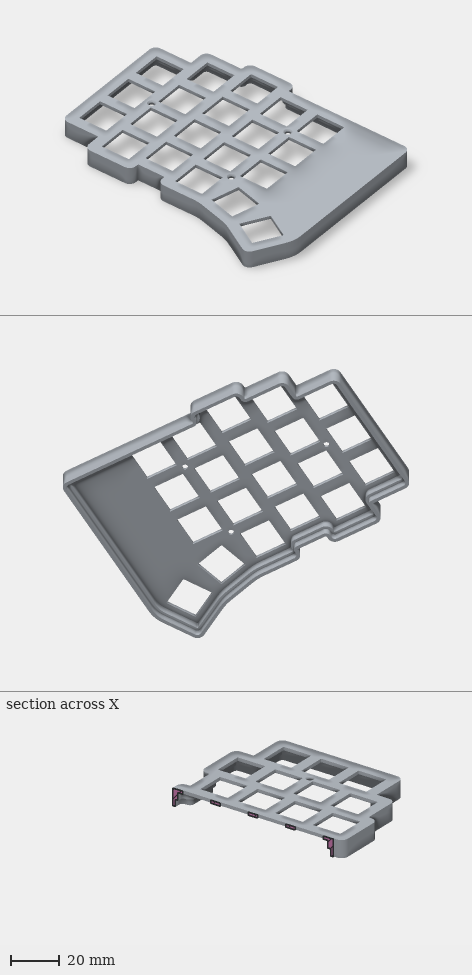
import cadquery as cq
import math

KEY_PITCH = 19.03
CUTOUT = 14.0
PLATE_MARGIN = 5.17
CASE_HEIGHT = 8.3
PLATE_THICKNESS = 1.6
LEDGE_DEPTH = 5.1
LOWER_WALL = 1.5
LEDGE_WIDTH = 1.3
RIGHT_EDGE_REACH = 37.36

COLUMNS = [
    (-KEY_PITCH / 2, 3),
    (0.0, 4),
    (KEY_PITCH / 4, 4),
    (0.0, 4),
    (0.0, 3),
]

INNER_THUMB = (78.2, -59.86, -15)
OUTER_THUMB = (98.0, -68.0, -30)

CORNER_RADIUS = 3.2
INSIDE_CORNER_RADIUS = 0.5
THUMB_BEND_RADIUS = 20.0
SIDE_BEND_RADIUS = 15.0

SCREW_HOLE_DIAMETER = 2.4
SCREW_HEAD_DIAMETER = 3.8
COUNTERSINK_ANGLE = 90
LEFT_SCREW_X = 10.5
RIGHT_SCREW_X = 3.5 * KEY_PITCH
SCREWS = [
    (LEFT_SCREW_X, -1.5 * KEY_PITCH),
    (RIGHT_SCREW_X, -0.5 * KEY_PITCH),
    (RIGHT_SCREW_X, -2.5 * KEY_PITCH),
]

REACH = CUTOUT / 2 + PLATE_MARGIN
RIGHT_EDGE = (len(COLUMNS) - 1) * KEY_PITCH + RIGHT_EDGE_REACH
UPPER_WALL = LOWER_WALL + LEDGE_WIDTH


def column_left(column):
    return column * KEY_PITCH - REACH


def column_right(column):
    return column * KEY_PITCH + REACH


def column_top(column):
    return COLUMNS[column][0] + REACH


def column_bottom(column):
    top_key, key_count = COLUMNS[column]
    return top_key - (key_count - 1) * KEY_PITCH - REACH


def thumb_side(thumb, side_angle):
    """Outer wall line beside a thumb key: a point on it and its direction angle in radians."""
    x, y, rotation = thumb
    outward = math.radians(rotation + side_angle)
    point = (x + REACH * math.cos(outward), y + REACH * math.sin(outward))
    return point, outward + math.pi / 2


def crossing(line_a, line_b):
    """Point where two lines meet."""
    (ax, ay), angle_a = line_a
    (bx, by), angle_b = line_b
    gap = (bx - ax) * math.sin(angle_b) - (by - ay) * math.cos(angle_b)
    along_a = gap / math.sin(angle_b - angle_a)
    return ax + along_a * math.cos(angle_a), ay + along_a * math.sin(angle_a)


def rounded_corner(before, corner, after, radius):
    """Start, middle and end point of the arc that rounds one corner."""
    tip = cq.Vector(*corner)
    to_before = cq.Vector(*before).sub(tip).normalized()
    to_after = cq.Vector(*after).sub(tip).normalized()
    half_angle = to_before.getAngle(to_after) / 2
    tangent_length = radius / math.tan(half_angle)
    middle_distance = radius / math.sin(half_angle) - radius
    bisector = to_before.add(to_after).normalized()
    start = tip.add(to_before.multiply(tangent_length))
    middle = tip.add(bisector.multiply(middle_distance))
    end = tip.add(to_after.multiply(tangent_length))
    return start.toTuple()[:2], middle.toTuple()[:2], end.toTuple()[:2]


def outline_corners():
    """Sharp corners of the case outline, counter-clockwise, each with its rounding radius."""
    bottom_line = ((0, column_bottom(3)), 0)
    inner_thumb_line = thumb_side(INNER_THUMB, -90)
    outer_thumb_line = thumb_side(OUTER_THUMB, -90)
    outer_thumb_end = thumb_side(OUTER_THUMB, 0)
    right_line = ((RIGHT_EDGE, 0), math.pi / 2)
    outside = CORNER_RADIUS
    inside = INSIDE_CORNER_RADIUS
    return [
        ((column_left(0), column_top(0)), outside),
        ((column_left(0), column_bottom(0)), outside),
        ((column_left(1), column_bottom(0)), inside),
        ((column_left(1), column_bottom(1)), outside),
        ((column_right(1), column_bottom(1)), outside),
        ((column_right(1), column_bottom(2)), inside),
        ((column_left(3), column_bottom(2)), inside),
        ((column_left(3), column_bottom(3)), outside),
        (crossing(bottom_line, inner_thumb_line), THUMB_BEND_RADIUS),
        (crossing(inner_thumb_line, outer_thumb_line), THUMB_BEND_RADIUS),
        (crossing(outer_thumb_line, outer_thumb_end), outside),
        (crossing(outer_thumb_end, right_line), SIDE_BEND_RADIUS),
        ((RIGHT_EDGE, column_top(3)), outside),
        ((column_right(2), column_top(3)), inside),
        ((column_right(2), column_top(2)), outside),
        ((column_left(2), column_top(2)), outside),
        ((column_left(2), column_top(1)), inside),
        ((column_left(1), column_top(1)), outside),
        ((column_left(1), column_top(0)), inside),
    ]


def outline():
    """Closed outer profile of the case on its base plane."""
    corners = outline_corners()
    points = [point for point, _ in corners]
    profile = cq.Workplane("XY")
    for index, (point, radius) in enumerate(corners):
        following = points[(index + 1) % len(points)]
        start, middle, end = rounded_corner(points[index - 1], point, following, radius)
        if index == 0:
            profile = profile.moveTo(*start)
        else:
            profile = profile.lineTo(*start)
        profile = profile.threePointArc(middle, end)
    return profile.close()


def cavity(wall, height):
    """Space open at the underside, inside a wall of the given thickness."""
    return outline().offset2D(-wall).extrude(height)


def key_cutout(x, y, rotation=0):
    return (
        cq.Workplane("XY")
        .rect(CUTOUT, CUTOUT)
        .extrude(CASE_HEIGHT)
        .rotate((0, 0, 0), (0, 0, 1), rotation)
        .translate((x, y, 0))
    )


def cut_keys(case):
    for column, (top_key, key_count) in enumerate(COLUMNS):
        for row in range(key_count):
            case = case.cut(key_cutout(column * KEY_PITCH, top_key - row * KEY_PITCH))
    for thumb in (INNER_THUMB, OUTER_THUMB):
        case = case.cut(key_cutout(*thumb))
    return case


def cut_screw_holes(case):
    return (
        case.faces(">Z")
        .workplane(origin=(0, 0, CASE_HEIGHT))
        .pushPoints(SCREWS)
        .cskHole(SCREW_HOLE_DIAMETER, SCREW_HEAD_DIAMETER, COUNTERSINK_ANGLE)
    )


case = outline().extrude(CASE_HEIGHT)
case = case.cut(cavity(LOWER_WALL, CASE_HEIGHT - LEDGE_DEPTH))
case = case.cut(cavity(UPPER_WALL, CASE_HEIGHT - PLATE_THICKNESS))
case = cut_keys(case)
result = cut_screw_holes(case)